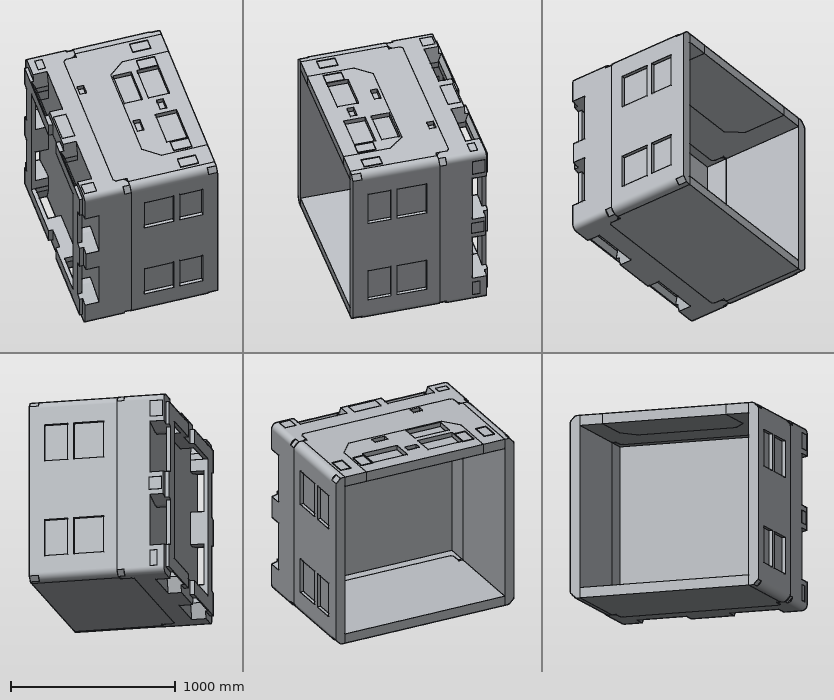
import cadquery as cq


LENGTH = 1219.0
WIDTH = 1130.0
HEIGHT = 863.0
HALF_X = LENGTH / 2
HALF_Z = WIDTH / 2
Y_TOP = HEIGHT / 2
Y_BOTTOM = -HEIGHT / 2

Y_BASE_RIM = -117.0
Y_DECK_TOP = -261.0
Y_DECK = -322.0
RUNNER_THICKNESS = 27.0
Y_LEG = Y_BOTTOM + RUNNER_THICKNESS
CORNER_LEG_DROP = 6.0
Y_CORNER_LEG = Y_LEG - CORNER_LEG_DROP

PANEL = 63.0
INNER_X = HALF_X - PANEL
INNER_Z = HALF_Z - PANEL
SILL_HALF_X = 519.0
Y_SILL = -201.0
SILL_CHAMFER = 15.0
ARM_RADIUS = 37.0

BASE_CORNER_RADIUS = 38.0
WALL_CORNER_RADIUS = 46.0
CORNER_FLAT = 34.0
BASE_FLAT_LENGTH = 43.0
WALL_FLAT_LENGTH = 57.0

RUNNER_HALF_X = 562.0
RUNNER_HALF_Z = 520.0
WINDOW_HALF_X = 425.0
WINDOW_HALF_Z = 432.0
RUNNER_GAP_TOP = 71.0
RUNNER_GAP_BOTTOM = 75.0
RUNNER_NOTCH_DEPTH = 84.0
RAMP_DROP = 21.0
RAMP_RUN = 41.0

FORK_MOUTH = 320.0
FORK_THROAT = 256.0
FORK_TAPER_X_SIDE = 139.0
FORK_TAPER_Z_SIDE = 95.0
FORK_CENTER_X = 299.0
FORK_CENTER_Z = 230.0

DOOR_HALF_X = 400.0
DOOR_BOTTOM_HALF_X = 317.0
Y_DOOR_SHOULDER = 138.0
Y_DOOR_BOTTOM = 39.0

LABEL_DEPTH = 5.0
LEG_LABEL_DEPTH = 1.0
END_POCKET_DEPTH = 29.0
SIDE_POCKET_DEPTH = 22.0

Y_UPPER_LABEL = (222.0, 336.0)
WALL_LABEL_X = (457.0, 525.0)
WALL_LATCH = ((-285.0, -222.0), (-185.0, -144.0))
DOOR_LABEL_X = (311.0, 384.0)
DOOR_POCKET_X = (71.0, 306.0)
Y_DOOR_UPPER_POCKET = (201.0, 336.0)
Y_DOOR_LOWER_POCKET = (49.0, 165.0)
DOOR_LATCHES = [
    ((-39.0, 39.0), (243.0, 285.0)),
    ((80.0, 170.0), (57.0, 100.0)),
]
SIDE_POCKET_Y = [(190.0, 336.0), (-34.0, 154.0)]
SIDE_POCKET_Z = (185.0, 412.0)
CORNER_LABEL_X = (489.0, 562.0)
CORNER_LABEL_Z = (422.0, 519.0)
Y_LONG_LABEL = (-400.0, Y_DECK)
Y_SHORT_LABEL = (-368.0, Y_DECK)
Y_MIDDLE_LABEL = (-395.0, -316.0)
MIDDLE_LABEL_HALF_X = 91.0
MIDDLE_LABEL_HALF_Z = 39.0

SIDES = (-1, 1)
CORNERS = [(side_x, side_z) for side_x in SIDES for side_z in SIDES]


def box(x, y, z):
    """A box from (low, high) pairs along the three axes."""
    size = [high - low for low, high in (x, y, z)]
    return cq.Workplane("XY").box(*size, centered=False).translate((x[0], y[0], z[0]))


def symmetric(half):
    return (-half, half)


def mirrored(span):
    low, high = span
    return (-high, -low)


def prism_along_y(points, y):
    """Extrude an (X, Z) outline over a (low, high) range of Y."""
    low, high = y
    return cq.Workplane("XZ", origin=(0, low, 0)).polyline(points).close().extrude(low - high)


def prism_along_z(points, z):
    """Extrude an (X, Y) outline over a (low, high) range of Z."""
    low, high = z
    return cq.Workplane("XY", origin=(0, 0, low)).polyline(points).close().extrude(high - low)


def corner_flat(side_x, side_z, y):
    """The wedge that flattens one long outer corner over a range of Y."""
    corner = (side_x * HALF_X, side_z * HALF_Z)
    on_x = (side_x * (HALF_X - CORNER_FLAT), side_z * HALF_Z)
    on_z = (side_x * HALF_X, side_z * (HALF_Z - CORNER_FLAT))
    return prism_along_y([corner, on_x, on_z], y)


def recess_z(x, y, depth):
    """A rectangular recess in the +Z face."""
    return box(x, y, (HALF_Z - depth, HALF_Z))


def recess_x(y, z, depth):
    """A rectangular recess in the -X face."""
    return box((-HALF_X, -HALF_X + depth), y, z)



def fork_outline(edge, center, taper_depth, depth):
    """Outline of a fork opening as (distance from the middle plane, position along the side).

    It narrows from the mouth to the throat over the taper depth, then runs straight.
    """
    half_mouth = FORK_MOUTH / 2
    half_throat = FORK_THROAT / 2
    return [
        (edge, center - half_mouth),
        (edge - taper_depth, center - half_throat),
        (edge - depth, center - half_throat),
        (edge - depth, center + half_throat),
        (edge - taper_depth, center + half_throat),
        (edge, center + half_mouth),
    ]


def fork_opening_x(side_x, side_z, y):
    """A fork opening in an X side, from the face to the space between the legs."""
    depth = HALF_X - WINDOW_HALF_X
    outline = fork_outline(HALF_X, FORK_CENTER_Z, FORK_TAPER_X_SIDE, depth)
    return prism_along_y([(side_x * across, side_z * along) for across, along in outline], y)


def fork_opening_z(side_x, side_z, y):
    """A fork opening in a Z side, from the face to the space between the legs."""
    depth = HALF_Z - WINDOW_HALF_Z
    outline = fork_outline(HALF_Z, FORK_CENTER_X, FORK_TAPER_Z_SIDE, depth)
    return prism_along_y([(side_x * along, side_z * across) for across, along in outline], y)


def make_runner():
    """The two C-shaped runners that join the legs underneath."""
    y_runner = (Y_BOTTOM, Y_LEG)
    runner = box(symmetric(RUNNER_HALF_X), y_runner, symmetric(RUNNER_HALF_Z))
    runner = runner.cut(box(symmetric(WINDOW_HALF_X), y_runner, symmetric(WINDOW_HALF_Z)))
    gap = [
        (-RUNNER_GAP_BOTTOM, Y_BOTTOM),
        (RUNNER_GAP_BOTTOM, Y_BOTTOM),
        (RUNNER_GAP_TOP, Y_LEG),
        (-RUNNER_GAP_TOP, Y_LEG),
    ]
    runner = runner.cut(prism_along_z(gap, symmetric(HALF_Z)))
    notch_limit = box(symmetric(HALF_X - RUNNER_NOTCH_DEPTH), y_runner, symmetric(HALF_Z))
    for side_x, side_z in CORNERS:
        notch = fork_opening_x(side_x, side_z, y_runner)
        runner = runner.cut(notch.cut(notch_limit))
        ramp_profile = [
            (Y_LEG, side_z * RUNNER_HALF_Z),
            (Y_LEG - RAMP_DROP, side_z * RUNNER_HALF_Z),
            (Y_LEG, side_z * (RUNNER_HALF_Z - RAMP_RUN)),
        ]
        ramp = cq.Workplane("YZ").polyline(ramp_profile).close().extrude(HALF_X, both=True)
        ramp = ramp.intersect(fork_opening_z(side_x, side_z, y_runner))
        runner = runner.cut(ramp)
    return runner


def base_labels():
    depth = LEG_LABEL_DEPTH
    return [
        recess_z(mirrored(CORNER_LABEL_X), Y_SHORT_LABEL, depth),
        recess_z(symmetric(MIDDLE_LABEL_HALF_X), Y_MIDDLE_LABEL, depth),
        recess_z(CORNER_LABEL_X, Y_LONG_LABEL, depth),
        recess_x(Y_SHORT_LABEL, mirrored(CORNER_LABEL_Z), depth),
        recess_x(Y_MIDDLE_LABEL, symmetric(MIDDLE_LABEL_HALF_Z), depth),
        recess_x(Y_LONG_LABEL, CORNER_LABEL_Z, depth),
    ]


def make_base():
    base = box(symmetric(HALF_X), (Y_CORNER_LEG, Y_BASE_RIM), symmetric(HALF_Z))
    base = base.edges("|Y").fillet(BASE_CORNER_RADIUS)

    base = base.cut(box(symmetric(INNER_X), (Y_DECK_TOP, Y_BASE_RIM), symmetric(INNER_Z)))

    sill = box(symmetric(SILL_HALF_X), (Y_SILL, Y_BASE_RIM), symmetric(HALF_Z))
    sill = sill.edges("|Z and <Y").chamfer(SILL_CHAMFER)
    base = base.cut(sill)
    for side in SIDES:
        edge_x = side * SILL_HALF_X
        center = (edge_x + side * ARM_RADIUS, Y_BASE_RIM - ARM_RADIUS)
        square_x = sorted((edge_x, center[0]))
        arm_corner = box(square_x, (center[1], Y_BASE_RIM), symmetric(HALF_Z))
        rounding = cq.Workplane("XY").center(*center).circle(ARM_RADIUS).extrude(HALF_Z, both=True)
        base = base.cut(arm_corner.cut(rounding))

    y_legs = (Y_CORNER_LEG, Y_DECK)
    base = base.cut(box(symmetric(WINDOW_HALF_X), y_legs, symmetric(WINDOW_HALF_Z)))
    for side_x, side_z in CORNERS:
        base = base.cut(fork_opening_x(side_x, side_z, y_legs))
        base = base.cut(fork_opening_z(side_x, side_z, y_legs))
        base = base.cut(corner_flat(side_x, side_z, (Y_BASE_RIM - BASE_FLAT_LENGTH, Y_BASE_RIM)))

    y_drop = (Y_CORNER_LEG, Y_LEG)
    base = base.cut(box(symmetric(FORK_CENTER_X), y_drop, symmetric(HALF_Z)))
    base = base.cut(box(symmetric(HALF_X), y_drop, symmetric(FORK_CENTER_Z)))

    base = base.union(make_runner())
    for label in base_labels():
        base = base.cut(label)
    return base



def make_side_wall(side):
    """The wall on the -X side, mirrored when side is +1."""
    wall = box((-HALF_X, -INNER_X), (Y_BASE_RIM, Y_TOP), symmetric(HALF_Z))
    wall = wall.edges("|Y and <X").fillet(WALL_CORNER_RADIUS)
    for side_z in SIDES:
        wall = wall.cut(corner_flat(-1, side_z, (Y_TOP - WALL_FLAT_LENGTH, Y_TOP)))
    for y in SIDE_POCKET_Y:
        for z in (SIDE_POCKET_Z, mirrored(SIDE_POCKET_Z)):
            wall = wall.cut(recess_x(y, z, SIDE_POCKET_DEPTH))
    return wall.mirror("YZ") if side > 0 else wall



def make_end_panel(z):
    """A plain end wall that stands in the sill of the base."""
    right_edge = [
        (SILL_HALF_X - SILL_CHAMFER, Y_SILL),
        (SILL_HALF_X, Y_SILL + SILL_CHAMFER),
        (SILL_HALF_X, Y_BASE_RIM),
        (INNER_X, Y_BASE_RIM),
        (INNER_X, Y_TOP),
    ]
    left_edge = [(-x, y) for x, y in reversed(right_edge)]
    return prism_along_z(right_edge + left_edge, z)


def door_blank():
    outline = [
        (DOOR_HALF_X, Y_TOP),
        (DOOR_HALF_X, Y_DOOR_SHOULDER),
        (DOOR_BOTTOM_HALF_X, Y_DOOR_BOTTOM),
        (-DOOR_BOTTOM_HALF_X, Y_DOOR_BOTTOM),
        (-DOOR_HALF_X, Y_DOOR_SHOULDER),
        (-DOOR_HALF_X, Y_TOP),
    ]
    return prism_along_z(outline, (INNER_Z, HALF_Z))


def make_back_wall():
    return make_end_panel((-HALF_Z, -INNER_Z))


def make_door_wall():
    wall = make_end_panel((INNER_Z, HALF_Z)).cut(door_blank())
    for x in (WALL_LABEL_X, mirrored(WALL_LABEL_X)):
        wall = wall.cut(recess_z(x, Y_UPPER_LABEL, LABEL_DEPTH))
    return wall.cut(recess_z(*WALL_LATCH, END_POCKET_DEPTH))


def make_door():
    door = door_blank()
    for x in (DOOR_LABEL_X, mirrored(DOOR_LABEL_X)):
        door = door.cut(recess_z(x, Y_UPPER_LABEL, LABEL_DEPTH))
    for x in (DOOR_POCKET_X, mirrored(DOOR_POCKET_X)):
        door = door.cut(recess_z(x, Y_DOOR_UPPER_POCKET, END_POCKET_DEPTH))
    door = door.cut(recess_z(mirrored(DOOR_POCKET_X), Y_DOOR_LOWER_POCKET, END_POCKET_DEPTH))
    for x, y in DOOR_LATCHES:
        door = door.cut(recess_z(x, y, END_POCKET_DEPTH))
    return door


base = make_base()
side_walls = [make_side_wall(side) for side in SIDES]
back_wall = make_back_wall()
door_wall = make_door_wall()
door = make_door()

result = cq.Compound.makeCompound(
    [
        base.val(),
        *[wall.val() for wall in side_walls],
        back_wall.val(),
        door_wall.val(),
        door.val(),
    ]
)